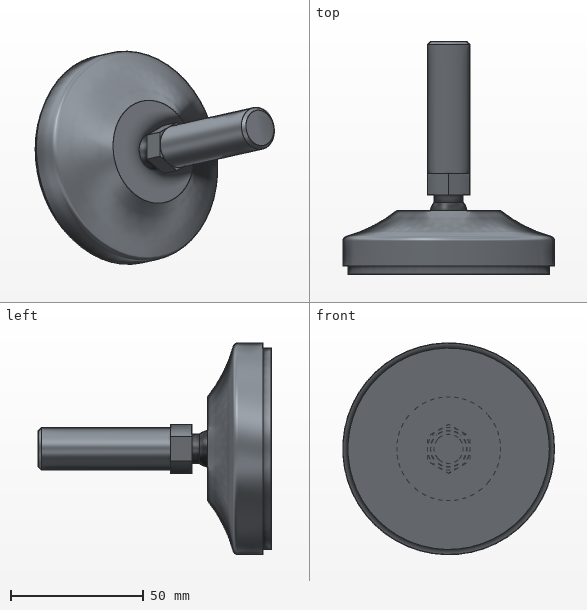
import cadquery as cq
import math

total_length = 88.0

pad_radius = 76.0 / 2
pad_height = 3.2
foot_radius = 80.0 / 2
rim_top = 12.4
shoulder_radius = 2.0
flank_start_radius = 38.4
flank_start_height = 14.4
foot_top_radius = 19.6
foot_top = 24.0
flank_sag = 1.1

ball_radius = 7.0
neck_radius = 11.0 / 2
neck_bottom = 27.2

hex_bottom = 30.0
hex_height = 8.0
hex_across_flats = 16.0
stem_radius = 16.0 / 2
stem_chamfer = 1.2


def cylinder(radius, bottom, top):
    """Round bar on the Y axis between two heights."""
    base = cq.Workplane("XZ", origin=(0, bottom, 0))
    return base.circle(radius).extrude(bottom - top)


def make_foot():
    """Revolved plate with a rounded shoulder and a concave flank."""
    chord_r = foot_top_radius - flank_start_radius
    chord_y = foot_top - flank_start_height
    chord = math.hypot(chord_r, chord_y)
    flank_middle = (
        (flank_start_radius + foot_top_radius) / 2 - flank_sag * chord_y / chord,
        (flank_start_height + foot_top) / 2 + flank_sag * chord_r / chord,
    )
    profile = (
        cq.Workplane("XY")
        .moveTo(0, pad_height)
        .lineTo(foot_radius, pad_height)
        .lineTo(foot_radius, rim_top)
        .radiusArc((flank_start_radius, flank_start_height), -shoulder_radius)
        .threePointArc(flank_middle, (foot_top_radius, foot_top))
        .lineTo(0, foot_top)
        .close()
    )
    return profile.revolve(360, (0, 0, 0), (0, 1, 0))


def make_ball():
    """Ball seated in the foot; it meets the neck at the neck's lower edge."""
    centre_height = neck_bottom - math.sqrt(ball_radius**2 - neck_radius**2)
    return cq.Workplane("XY", origin=(0, centre_height, 0)).sphere(ball_radius)


def make_hexagon():
    """Wrench hexagon with flats facing +X and -X."""
    across_corners = hex_across_flats / math.cos(math.pi / 6)
    return (
        cq.Workplane("XZ", origin=(0, hex_bottom, 0))
        .transformed(rotate=(0, 0, 90))
        .polygon(6, across_corners)
        .extrude(-hex_height)
    )


pad = cylinder(pad_radius, 0, pad_height)
neck = cylinder(neck_radius, neck_bottom, hex_bottom)
stem = cylinder(stem_radius, hex_bottom + hex_height, total_length)
stem = stem.faces(">Y").chamfer(stem_chamfer)

result = pad.union(make_foot()).union(make_ball()).union(neck)
result = result.union(make_hexagon()).union(stem)